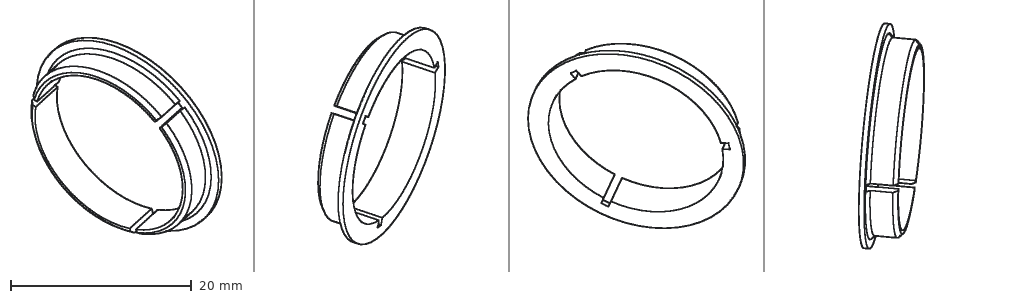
import cadquery as cq

flange_radius = 12.5
flange_thickness = 0.6
total_depth = 4.1
ring_outer_radius = 11.02
bore_radius = 10.12
tip_chamfer = 0.5
root_flare = 0.45
slot_width = 0.88
slot_count = 3
first_slot_angle = 49.0


def ring_body():
    """Revolve the section of the flange and the sleeve around the Y axis."""
    profile = [
        (bore_radius, 0),
        (flange_radius, 0),
        (flange_radius, -flange_thickness),
        (ring_outer_radius + root_flare, -flange_thickness),
        (ring_outer_radius, -flange_thickness - root_flare),
        (ring_outer_radius, -total_depth + tip_chamfer),
        (ring_outer_radius - tip_chamfer, -total_depth),
        (bore_radius, -total_depth),
    ]
    return cq.Workplane("XY").polyline(profile).close().revolve(360, (0, 0), (0, 1))


def slot_bar(angle, reach, depth):
    """Radial bar from the axis out to reach, extending from Y = 0 to -depth."""
    return (
        cq.Workplane("XY")
        .box(reach, depth, slot_width, centered=(False, False, True))
        .translate((0, -depth, 0))
        .rotate((0, 0, 0), (0, 1, 0), -angle)
    )


def slot_cutter(angle):
    """Slot through the whole sleeve and flare, kept inside the sleeve radius at the flange."""
    bar = slot_bar(angle, flange_radius, total_depth)
    sleeve_core = cq.Workplane("XZ").circle(ring_outer_radius).extrude(flange_thickness)
    sleeve_zone = (
        cq.Workplane("XZ", origin=(0, -flange_thickness, 0))
        .circle(flange_radius)
        .extrude(total_depth - flange_thickness)
    )
    return bar.intersect(sleeve_core.union(sleeve_zone))


result = ring_body()
for index in range(slot_count):
    result = result.cut(slot_cutter(first_slot_angle + index * 360 / slot_count))